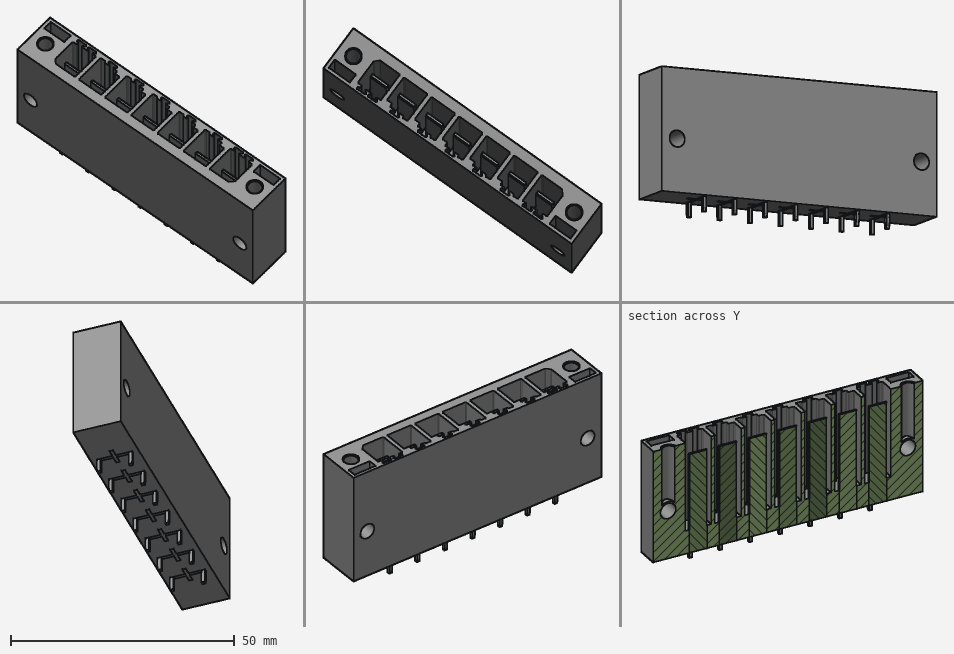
import cadquery as cq

pitch = 7.62
contact_count = 7
housing_length = (contact_count + 2) * pitch
housing_depth = 11.4
housing_height = 28.4
overall_height = 31.8
mounting_offset = (contact_count + 1) / 2 * pitch
contact_positions = [(i - (contact_count - 1) / 2) * pitch for i in range(contact_count)]

cavity_floor = 6.0
cavity_half_width = 3.27
cavity_front = -3.2
cavity_corner_radius = 0.2
step_radius = 0.14
end_front_chamfer = 1.0
end_outer_shoulder = 3.85
back_shoulder = 4.05
end_inner_shoulder = 4.12
middle_left_shoulder = 4.45
middle_right_shoulder = 3.2
middle_left_step = -1.9
middle_right_step = 1.85

key_neck_width = 1.3
key_head_width = 2.35
key_head_front = 4.5
key_back = 5.07
end_key_offset = 1.5

cross_hole_diameter = 3.8
cross_hole_height = 12.2
sleeve_diameter = 4.9
screw_hole_diameter = 3.3
screw_hole_y = -0.5
screw_hole_chamfer = 0.25
nut_pocket_width = 5.8
nut_pocket_front = 2.58
nut_pocket_back = 4.86

blade_width = 4.4
blade_thickness = 0.85
blade_y = 0.12
blade_depth = 3.1
blade_top = housing_height - blade_depth
blade_bevel_depth = 0.2
blade_bevel_height = 0.5
leg_width = 0.75
leg_thickness = 0.85
leg_length = overall_height - housing_height
leg_offset = pitch / 2
leg_bevel_depth = 0.12
leg_bevel_height = 0.85
bridge_height = 2.0


def keyway_points(x, left_shoulder, right_shoulder):
    """Outline of a T-shaped keyway at x, from its left shoulder round to its right one."""
    neck = key_neck_width / 2
    head = key_head_width / 2
    return [
        (x - neck, left_shoulder),
        (x - neck, key_head_front),
        (x - head, key_head_front),
        (x - head, key_back),
        (x + head, key_back),
        (x + head, key_head_front),
        (x + neck, key_head_front),
        (x + neck, right_shoulder),
    ]


def cavity_space(outline):
    """Space of one cavity, with its upright corners rounded."""
    space = cq.Workplane("XY", origin=(0, 0, cavity_floor)).polyline(outline).close()
    space = space.extrude(housing_height - cavity_floor)
    side_corners = cq.selectors.StringSyntaxSelector("|Z and (<X or >X)")
    other_corners = cq.selectors.StringSyntaxSelector("|Z and (not (<X or >X))")
    rounded = space.edges(other_corners).fillet(step_radius)
    return rounded.edges(side_corners).fillet(cavity_corner_radius)


def middle_cavity():
    """Cavity with one keyway and a stepped back wall."""
    return cavity_space([
        (-cavity_half_width, cavity_front),
        (-cavity_half_width, middle_left_shoulder),
        (middle_left_step, middle_left_shoulder),
        (middle_left_step, back_shoulder),
        *keyway_points(0, back_shoulder, back_shoulder),
        (middle_right_step, back_shoulder),
        (middle_right_step, middle_right_shoulder),
        (cavity_half_width, middle_right_shoulder),
        (cavity_half_width, cavity_front),
    ])


def left_end_cavity():
    """Cavity with two keyways and a bevelled outer front corner."""
    return cavity_space([
        (-cavity_half_width + end_front_chamfer, cavity_front),
        (-cavity_half_width, cavity_front + end_front_chamfer),
        (-cavity_half_width, end_outer_shoulder),
        *keyway_points(-end_key_offset, end_outer_shoulder, back_shoulder),
        *keyway_points(end_key_offset, back_shoulder, end_inner_shoulder),
        (cavity_half_width, end_inner_shoulder),
        (cavity_half_width, cavity_front),
    ])


def cross_cylinder(x, diameter):
    """Cylinder along Y through the whole depth of a mounting end."""
    cylinder = cq.Workplane("XZ", origin=(x, 0, cross_hole_height)).circle(diameter / 2)
    return cylinder.extrude(housing_depth / 2, both=True)


def nut_pocket(x):
    """Rectangular pocket reaching down to the middle of the cross hole."""
    pocket_depth = nut_pocket_back - nut_pocket_front
    pocket_middle = (nut_pocket_front + nut_pocket_back) / 2
    pocket = cq.Workplane("XY", origin=(x, pocket_middle, cross_hole_height))
    return pocket.rect(nut_pocket_width, pocket_depth).extrude(housing_height - cross_hole_height)


def screw_hole(x):
    """Vertical hole with a chamfered mouth, reaching down to the sleeve."""
    hole = cq.Workplane("XY", origin=(x, screw_hole_y, cross_hole_height))
    hole = hole.circle(screw_hole_diameter / 2).extrude(housing_height - cross_hole_height)
    mouth = cq.Workplane("XY", origin=(x, screw_hole_y, housing_height))
    mouth = mouth.circle(screw_hole_diameter / 2 + screw_hole_chamfer)
    mouth = mouth.extrude(-screw_hole_chamfer, taper=45)
    return hole.union(mouth)


def make_contact():
    """Blade standing on a bar that carries the two solder legs."""
    blade = cq.Workplane("XY").center(0, blade_y).rect(blade_width, blade_thickness).extrude(blade_top)
    blade = blade.edges(">Y and >Z").chamfer(blade_bevel_height, blade_bevel_depth)

    leg_outer = leg_offset + leg_thickness / 2
    leg_inner = leg_offset - leg_thickness / 2
    half_outline = [
        (leg_inner, 0),
        (leg_inner, -leg_length),
        (leg_outer - leg_bevel_depth, -leg_length),
        (leg_outer, -leg_length + leg_bevel_height),
        (leg_outer, bridge_height),
    ]
    mirrored_half = [(-y, z) for y, z in reversed(half_outline)]
    legs = cq.Workplane("YZ").polyline(half_outline + mirrored_half).close()
    legs = legs.extrude(leg_width / 2, both=True)
    return blade.union(legs)


def make_housing(contacts):
    """Housing block with its cavities, mounting ends and seats for the contacts."""
    body = cq.Workplane("XY").rect(housing_length, housing_depth).extrude(housing_height)

    end_cavity = left_end_cavity()
    body = body.cut(end_cavity.translate((contact_positions[0], 0, 0)))
    body = body.cut(end_cavity.mirror("YZ").translate((contact_positions[-1], 0, 0)))
    for x in contact_positions[1:-1]:
        body = body.cut(middle_cavity().translate((x, 0, 0)))

    for x in (-mounting_offset, mounting_offset):
        openings = nut_pocket(x).union(screw_hole(x))
        body = body.cut(openings.cut(cross_cylinder(x, sleeve_diameter)))
        body = body.cut(cross_cylinder(x, cross_hole_diameter))

    for contact in contacts:
        body = body.cut(contact)
    return body


contacts = [make_contact().translate((x, 0, 0)) for x in contact_positions]
housing = make_housing(contacts)

solids = [body.solids().val() for body in [housing, *contacts]]
result = cq.Compound.makeCompound(solids)